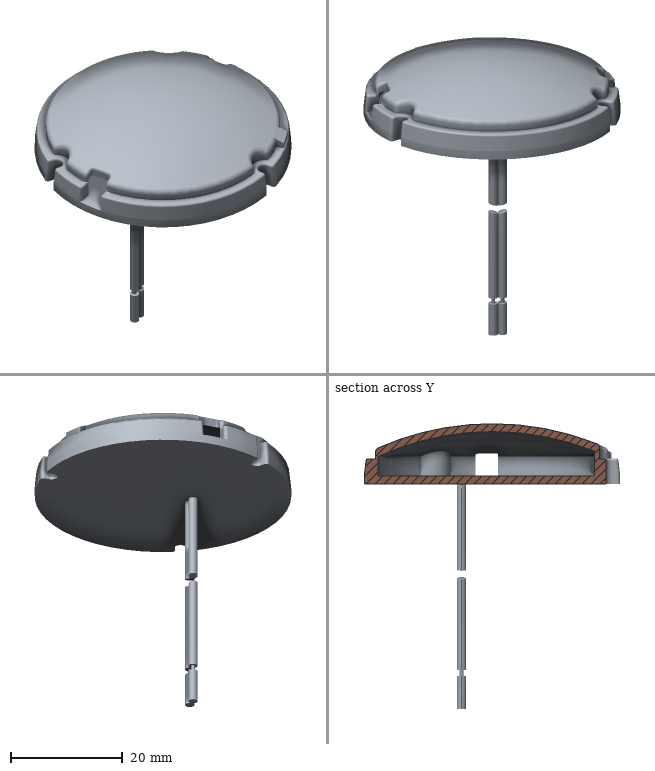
import cadquery as cq
import math

total_height = 51.25
base_radius = 23.0
dome_apex_z = 10.9
wire_end_z = dome_apex_z - total_height

plate_thickness = 1.6
ledge_z = 4.6
ledge_radius = 22.65
ledge_fillet = 0.4
mouth_fillet = 0.55
dome_radius = 21.0
dome_sphere_radius = 50.6
dome_fillet = 1.0
shell_thickness = 1.5
cavity_radius = 20.5
boss_wall = 1.0

screw_count = 3
screw_circle_radius = 21.5
screw_notch_radius = 1.15
screw_recess_radius = 2.25
screw_recess_fillet = 0.9

window_center_x = -0.95
window_width = 4.0
window_end_y = 19.15
window_fillet = 0.5
window_inner_fillet = 0.45
inner_upright_y = window_end_y + 2 * window_inner_fillet

pad_start_angle = 17.5
pad_end_angle = 27.0
pad_radius = 22.4

wire_pair_width = 3.35
wire_diameter = wire_pair_width / 2
wire_x = -5.5
break_top_z = -15.5
break_gap = 1.55
break_rise = 0.4
strip_top_z = -33.25
strip_bottom_z = -34.3
core_diameter = 0.65

dome_center_z = dome_apex_z - dome_sphere_radius
beyond = 2 * base_radius


def cylinder(radius, bottom_z, top_z, x=0.0, y=0.0):
    return cq.Workplane("XY", origin=(x, y, bottom_z)).circle(radius).extrude(top_z - bottom_z)


def dome_ball(radius):
    return cq.Workplane("XY", origin=(0, 0, dome_center_z)).sphere(radius)


def screw_slots(radius, bottom_z, top_z):
    """Round-ended slots that open outwards, one at each screw position."""
    slots = cq.Workplane("XY")
    for index in range(screw_count):
        slot = (
            cylinder(radius, bottom_z, top_z, screw_circle_radius)
            .union(
                cq.Workplane("XY", origin=(screw_circle_radius, 0, bottom_z))
                .rect(beyond, 2 * radius)
                .extrude(top_z - bottom_z)
                .translate((beyond / 2, 0, 0))
            )
        )
        slots = slots.add(slot.rotate((0, 0, 0), (0, 0, 1), index * 360 / screw_count))
    return slots.combine()


def window_cutters():
    """Blocks that open a window on each side, down to the plate and up through the dome."""
    depth = 2 * (base_radius - window_end_y)
    cutters = cq.Workplane("XY")
    for side in (-1, 1):
        center_y = side * (window_end_y + depth / 2)
        cutter = (
            cq.Workplane("XY", origin=(window_center_x, center_y, plate_thickness))
            .rect(window_width, depth)
            .extrude(dome_apex_z - plate_thickness)
            .edges("|Z")
            .fillet(window_inner_fillet)
        )
        cutters = cutters.add(cutter)
    return cutters.combine()


class MouthEdges(cq.Selector):
    """Selects the upright edges of the drafted rim wall, where notches and windows open outwards."""

    def filter(self, objects):
        return [
            edge for edge in objects
            if edge.BoundingBox().zlen > ledge_fillet
            and math.hypot(edge.Center().x, edge.Center().y) > ledge_radius - 0.05
        ]


class WindowEdges(cq.Selector):
    """Selects the outer upright edges and the upper edges of the windows in the dome."""

    def filter(self, objects):
        chosen = []
        for edge in objects:
            box = edge.BoundingBox()
            in_width = abs(edge.Center().x - window_center_x) < window_width / 2 + 0.005
            is_short = box.xlen < window_width
            in_depth = abs(edge.Center().y) > window_end_y - 0.005
            above_ledge = box.zmax > ledge_z + 0.005
            is_inner_upright = box.zmin < ledge_z + 0.005 and abs(edge.Center().y) < inner_upright_y
            if in_width and is_short and in_depth and above_ledge and not is_inner_upright:
                chosen.append(edge)
        return chosen


def make_rim():
    """Plate and drafted rim wall, filled up to the ledge."""
    rim = (
        cq.Workplane("XZ")
        .polyline([
            (0, 0),
            (base_radius, 0),
            (base_radius, plate_thickness),
            (ledge_radius, ledge_z),
            (0, ledge_z),
        ])
        .close()
        .revolve(360, (0, 0, 0), (0, 1, 0))
    )
    rim = rim.cut(screw_slots(screw_notch_radius, 0, ledge_z)).cut(window_cutters())
    rim = rim.edges(MouthEdges()).fillet(mouth_fillet)
    return rim.faces(">Z").edges().fillet(ledge_fillet)


def make_window_frames():
    """Square-edged window sides below the dome, inside the rounded ones of the rim."""
    width = window_width + 4 * ledge_fillet
    frames = (
        cq.Workplane("XY", origin=(window_center_x, 0, plate_thickness))
        .rect(width, beyond)
        .extrude(ledge_z - plate_thickness)
    )
    return frames.intersect(cylinder(dome_radius, plate_thickness, ledge_z)).cut(window_cutters())


def make_dome():
    """Solid dome with a straight step wall, rounded along its whole upper edge."""
    dome = cylinder(dome_radius, ledge_z, dome_apex_z).intersect(dome_ball(dome_sphere_radius))
    dome = dome.cut(screw_slots(screw_recess_radius, ledge_z, dome_apex_z))
    dome = dome.edges("|Z").fillet(screw_recess_fillet)
    dome = dome.faces("%SPHERE").edges().fillet(dome_fillet)
    dome = dome.cut(window_cutters())
    return dome.edges(WindowEdges()).fillet(window_fillet)


def make_pad():
    """Sector of the dome's sphere that covers the ledge between the pad angles."""
    start = math.radians(pad_start_angle)
    end = math.radians(pad_end_angle)
    sector = (
        cq.Workplane("XY", origin=(0, 0, ledge_z))
        .polyline([
            (0, 0),
            (beyond * math.cos(start), beyond * math.sin(start)),
            (beyond * math.cos(end), beyond * math.sin(end)),
        ])
        .close()
        .extrude(dome_apex_z - ledge_z)
    )
    ring = cylinder(pad_radius, ledge_z, dome_apex_z).cut(
        cylinder(cavity_radius, ledge_z, dome_apex_z)
    )
    return ring.intersect(sector).intersect(dome_ball(dome_sphere_radius))


def cut_cavity(housing):
    """Hollows the housing under a ceiling parallel to the dome, leaving a boss at each screw."""
    cavity = cylinder(cavity_radius, plate_thickness, dome_apex_z).intersect(
        dome_ball(dome_sphere_radius - shell_thickness)
    )
    bosses = screw_slots(screw_recess_radius + boss_wall, plate_thickness, dome_apex_z)
    return housing.cut(cavity.cut(bosses))


def wire_y(side):
    return side * wire_diameter / 2


def break_wedge(tip_z, end_z):
    """Prism bounded by the V-shaped break on one side and by the level end_z on the other."""
    half_width = wire_diameter
    return (
        cq.Workplane("YZ", origin=(wire_x - wire_diameter, 0, 0))
        .polyline([
            (0, tip_z),
            (half_width, tip_z + break_rise),
            (half_width, end_z),
            (-half_width, end_z),
            (-half_width, tip_z + break_rise),
        ])
        .close()
        .extrude(2 * wire_diameter)
    )


def make_stub(side):
    stub = cylinder(wire_diameter / 2, break_top_z, 0, wire_x, wire_y(side))
    return stub.intersect(break_wedge(break_top_z, 0))


def make_wire(side):
    """Lower length of one wire: insulation, a bare stretch of core and the loose end sleeve."""
    break_z = break_top_z - break_gap
    x, y = wire_x, wire_y(side)
    insulation = cylinder(wire_diameter / 2, strip_top_z, break_z + break_rise, x, y).cut(
        break_wedge(break_z, 0)
    )
    core = cylinder(core_diameter / 2, strip_bottom_z, strip_top_z, x, y)
    sleeve = cylinder(wire_diameter / 2, wire_end_z, strip_bottom_z, x, y)
    return insulation.union(core).union(sleeve)


housing = make_rim().union(make_window_frames()).union(make_dome()).union(make_pad())
housing = cut_cavity(housing)
for side in (-1, 1):
    housing = housing.union(make_stub(side))

wires = [make_wire(side) for side in (-1, 1)]

result = cq.Compound.makeCompound([housing.val(), *[wire.val() for wire in wires]])